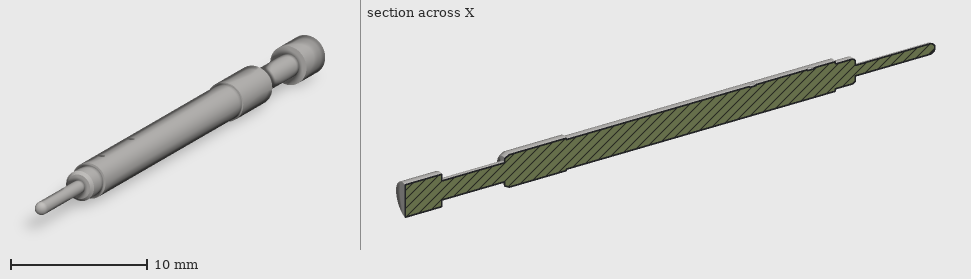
import cadquery as cq


length = 43.3
half_length = length / 2

head_diameter = 3.0
shaft_diameter = 1.78
collar_diameter = head_diameter
body_diameter = 2.73
insert_diameter = 2.3
pin_diameter = 1.0

head_length = 3.05
shaft_length = 5.1
collar_length = 5.05
body_length = 21.95
insert_length = 1.65

collar_chamfer_width = 0.2
collar_chamfer_length = 0.4
insert_chamfer = 0.2

dent_diameter = 0.5
dent_depth = 0.1
dent_distances = (28.4, 33.12)

head_end = half_length
shaft_start = head_end - head_length
collar_start = shaft_start - shaft_length
body_start = collar_start - collar_length
insert_start = body_start - body_length
pin_start = insert_start - insert_length
tip_end = -half_length


def step(diameter, start, step_length):
    """Solid cylinder on the Y axis running from start toward -Y."""
    return cq.Workplane("XZ", origin=(0, start, 0)).circle(diameter / 2).extrude(step_length)


def make_collar():
    collar = step(collar_diameter, collar_start, collar_length)
    return collar.faces(">Y").chamfer(collar_chamfer_length, collar_chamfer_width)


def make_insert():
    return step(insert_diameter, insert_start, insert_length).faces("<Y").chamfer(insert_chamfer)


def make_pin():
    """Pin with a hemispherical tip."""
    radius = pin_diameter / 2
    dome_center = tip_end + radius
    dome = cq.Workplane("XY", origin=(0, dome_center, 0)).sphere(radius)
    return step(pin_diameter, pin_start, pin_start - dome_center).union(dome)


def make_dent(distance):
    """Cutter for a shallow round dent in the top of the body."""
    floor = body_diameter / 2 - dent_depth
    origin = (0, head_end - distance, floor)
    return cq.Workplane("XY", origin=origin).circle(dent_diameter / 2).extrude(2 * dent_depth)


result = (
    step(head_diameter, head_end, head_length)
    .union(step(shaft_diameter, shaft_start, shaft_length))
    .union(make_collar())
    .union(step(body_diameter, body_start, body_length))
    .union(make_insert())
    .union(make_pin())
)
for dent_distance in dent_distances:
    result = result.cut(make_dent(dent_distance))